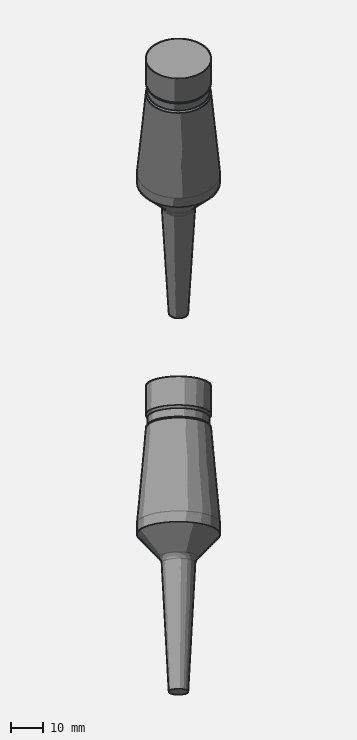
import cadquery as cq

total_length = 100.0

tip_radius = 3.1
stem_top_radius = 5.3
fillet_top_radius = 6.1
body_radius = 13.0
shoulder_radius = 10.2
groove_radius = 9.7
head_radius = 10.2

stem_length = 42.1
fillet_height = 1.8
lower_cone_height = 7.6
band_height = 3.6
head_height = 9.4
head_chamfer = 0.9
groove_height = 2.7
shoulder_chamfer = 0.6

fillet_top_z = stem_length + fillet_height
band_bottom_z = fillet_top_z + lower_cone_height
band_top_z = band_bottom_z + band_height
head_bottom_z = total_length - head_height
groove_top_z = head_bottom_z - head_chamfer
groove_bottom_z = groove_top_z - groove_height
shoulder_z = groove_bottom_z - shoulder_chamfer

profile = (
    cq.Workplane("XZ")
    .lineTo(tip_radius, 0)
    .lineTo(stem_top_radius, stem_length)
    .tangentArcPoint((fillet_top_radius, fillet_top_z), relative=False)
    .lineTo(body_radius, band_bottom_z)
    .lineTo(body_radius, band_top_z)
    .lineTo(shoulder_radius, shoulder_z)
    .lineTo(groove_radius, groove_bottom_z)
    .lineTo(groove_radius, groove_top_z)
    .lineTo(head_radius, head_bottom_z)
    .lineTo(head_radius, total_length)
    .lineTo(0, total_length)
    .close()
)

result = profile.revolve(360, (0, 0, 0), (0, 1, 0))